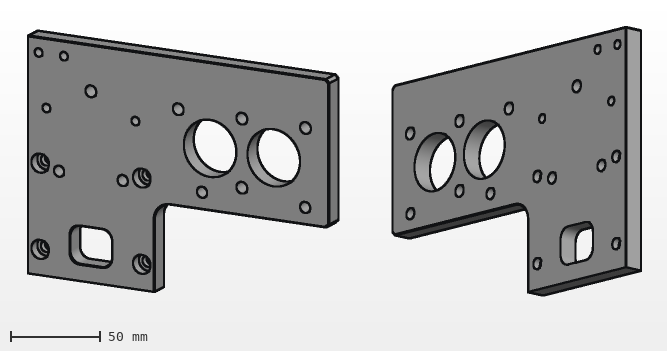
import cadquery as cq

length = 190.0
thickness = 12.0
height = 138.0
leg_width = 80.0
arm_height = 86.0
inner_corner_radius = 10.0
arm_corner_chamfer = 2.0
edge_chamfer = 0.5

leg_axis = leg_width / 2

bore_diameter = 33.0
bore_pitch = 40.0
bore_middle_x = 135.0
bore_height = 88.0

small_tap_diameter = 5.0
large_tap_diameter = 6.8
corner_tap_xs = (7.0, 23.0)
corner_tap_height = 129.0
side_tap_spacing = 56.0
side_tap_height = 97.5
leg_tap_height = 111.0

clearance_diameter = 6.5
clearance_height = 62.0
leg_clearance_spacing = 40.0
arm_clearance_xs = (110.0, 175.0)

counterbore_diameter = 11.0
counterbore_depth = 7.0
screw_spacing = 64.0
screw_heights = (15.0, 65.0)

window_width = 26.0
window_height = 21.8
window_center_height = 20.9
window_corner_radius = 6.0


def pair(center, spacing):
    """Two coordinates placed evenly about a center."""
    return (center - spacing / 2, center + spacing / 2)


def front_plane():
    """Sketch plane on the front face; extruding by a negative length goes into the plate."""
    return cq.Workplane("XZ")


def cylinders(points, diameter, depth=thickness):
    """Round cutters running from the front face into the plate."""
    return front_plane().pushPoints(points).circle(diameter / 2).extrude(-depth)


def make_blank():
    """L-shaped plate with its inner corner rounded and its upper and arm corners chamfered."""
    arm_bottom = height - arm_height
    outline = [
        (0, 0),
        (leg_width, 0),
        (leg_width, arm_bottom),
        (length, arm_bottom),
        (length, height),
        (0, height),
    ]
    blank = front_plane().polyline(outline).close().extrude(-thickness)
    inner_corner = cq.selectors.NearestToPointSelector((leg_width, thickness / 2, arm_bottom))
    blank = blank.edges(inner_corner).fillet(inner_corner_radius)
    blank = blank.edges("|Y and >X").chamfer(arm_corner_chamfer)
    return blank.edges("|Y and <X and >Z").chamfer(edge_chamfer)


def make_window():
    window = front_plane().center(leg_axis, window_center_height)
    window = window.rect(window_width, window_height).extrude(-thickness)
    return window.edges("|Y").fillet(window_corner_radius)


def make_plate():
    """Blank with its window; the bottom edges and the back of the window stay sharp."""
    plate = make_blank()
    plate = plate.faces(">Y").edges("not <Z").chamfer(edge_chamfer)
    plate = plate.cut(make_window())
    return plate.faces("<Y").edges("not <Z").chamfer(edge_chamfer)


bore_points = [(x, bore_height) for x in pair(bore_middle_x, bore_pitch)]

small_tap_points = [(x, corner_tap_height) for x in corner_tap_xs]
small_tap_points += [(x, side_tap_height) for x in pair(leg_axis, side_tap_spacing)]

lower_tap_height, upper_tap_height = pair(bore_height, bore_pitch)
large_tap_points = [(leg_axis, leg_tap_height), (bore_middle_x, lower_tap_height)]
large_tap_points += [(bore_middle_x + step * bore_pitch, upper_tap_height) for step in (-1, 0, 1)]

clearance_xs = pair(leg_axis, leg_clearance_spacing) + arm_clearance_xs
clearance_points = [(x, clearance_height) for x in clearance_xs]

screw_points = [(x, z) for x in pair(leg_axis, screw_spacing) for z in screw_heights]

result = (
    make_plate()
    .cut(cylinders(bore_points, bore_diameter))
    .cut(cylinders(small_tap_points, small_tap_diameter))
    .cut(cylinders(large_tap_points, large_tap_diameter))
    .cut(cylinders(clearance_points + screw_points, clearance_diameter))
    .cut(cylinders(screw_points, counterbore_diameter, counterbore_depth))
)